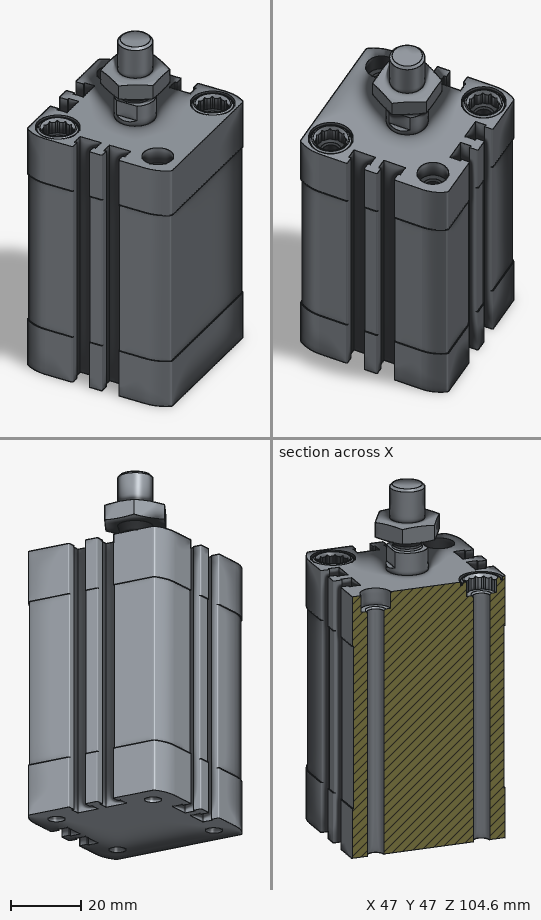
import cadquery as cq
import math

total_height = 104.6
housing_height = 79.1
cap_height = 15.1

housing_width = 47.0
half_width = housing_width / 2
tube_inset = 0.3
hole_offset = 16.2
corner_drop = 2.4
corner_edge_radius = 1.0
corner_run = half_width - hole_offset
corner_radius = (corner_run**2 + corner_drop**2) / (2 * corner_drop)

mouth_start = 2.1
mouth_end = 7.4
pocket_start = 1.4
pocket_end = 8.2
lip_depth = 2.6
slot_depth = 5.9
mouth_rounding = 0.3

through_diameter = 4.9
chamfer_diameter = 6.0
counterbore_diameter = 9.0
counterbore_depth = 5.0

moat_diameter = 12.8
head_diameter = 11.9
head_chamfer = 0.5
moat_depth = 1.0
socket_mouth_diameter = 10.0
socket_mouth_depth = 1.0
socket_bore_diameter = 8.5
socket_across_flats = 7.8
socket_depth = 4.6

rod_diameter = 12.0
thread_diameter = 10.0
tip_chamfer = 0.7
shoulder_height = 85.8
neck_foot_diameter = 8.7
neck_diameter = 8.2
neck_top_diameter = 8.5
neck_start = 86.3
neck_end = 87.0
runout_start = 87.3
wrench_across_flats = 10.0
wrench_flat_bottom = 81.0
wrench_floor_drop = 0.6

nut_bottom = 89.5
nut_thickness = 5.0
nut_across_flats = 17.0
nut_face_diameter = 16.7
nut_chamfer_height = 0.3

corner_points = [(x, y) for x in (-hole_offset, hole_offset) for y in (-hole_offset, hole_offset)]
screw_points = [(x, y) for x, y in corner_points if x == y]
plain_points = [(x, y) for x, y in corner_points if x != y]


def disc(diameter, bottom, top):
    """A cylinder on the Z axis between two heights."""
    return cq.Workplane("XY").workplane(offset=bottom).circle(diameter / 2).extrude(top - bottom)


def cone(bottom_diameter, top_diameter, bottom, top):
    """A truncated cone on the Z axis between two heights."""
    return cq.Workplane("XY").add(
        cq.Solid.makeCone(bottom_diameter / 2, top_diameter / 2, top - bottom, pnt=cq.Vector(0, 0, bottom))
    )


def corner_arc_block(inset, bottom, height):
    """Square block whose corners are shallow arcs, tangent to the Y sides above the hole axes."""
    side = half_width - inset
    radius = corner_radius - inset
    arc_centre = half_width - corner_radius
    arc_end = arc_centre + math.sqrt(radius**2 - (corner_run - inset) ** 2)
    block = (
        cq.Workplane("XY")
        .workplane(offset=bottom)
        .moveTo(-hole_offset, side)
        .lineTo(hole_offset, side)
        .radiusArc((side, arc_end), radius)
        .lineTo(side, -arc_end)
        .radiusArc((hole_offset, -side), radius)
        .lineTo(-hole_offset, -side)
        .radiusArc((-side, -arc_end), radius)
        .lineTo(-side, arc_end)
        .radiusArc((-hole_offset, side), radius)
        .close()
        .extrude(height)
    )
    return block.edges("|Z").edges("<X or >X").fillet(corner_edge_radius - inset)


def t_slot_pair(inset, bottom, height):
    """Cutter for the two T-slots of the -Y side, with rounded mouth edges."""
    side = -half_width + inset
    lip = -half_width + lip_depth
    floor = -half_width + slot_depth
    slot = (
        cq.Workplane("XY")
        .workplane(offset=bottom)
        .moveTo(mouth_start - mouth_rounding, side)
        .radiusArc((mouth_start, side + mouth_rounding), -mouth_rounding)
        .lineTo(mouth_start, lip)
        .lineTo(pocket_start, lip)
        .lineTo(pocket_start, floor)
        .lineTo(pocket_end, floor)
        .lineTo(pocket_end, lip)
        .lineTo(mouth_end, lip)
        .lineTo(mouth_end, side + mouth_rounding)
        .radiusArc((mouth_end + mouth_rounding, side), -mouth_rounding)
        .close()
        .extrude(height)
    )
    return slot.union(slot.mirror("YZ"))


def housing_section(inset, bottom, height):
    """One length of the housing, with T-slots in the -Y, +Y and -X sides."""
    section = corner_arc_block(inset, bottom, height)
    for angle in (0, 180, 270):
        slots = t_slot_pair(inset, bottom, height).rotate((0, 0, 0), (0, 0, 1), angle)
        section = section.cut(slots)
    return section


def threaded_hole(floor):
    """Through hole with a chamfer at the given floor height."""
    chamfer_height = (chamfer_diameter - through_diameter) / 2
    chamfer = cone(through_diameter, chamfer_diameter, floor - chamfer_height, floor)
    return disc(through_diameter, 0, floor).union(chamfer)


def plain_corner_cutter():
    """Counterbored through hole."""
    floor = housing_height - counterbore_depth
    return threaded_hole(floor).union(disc(counterbore_diameter, floor, housing_height))


def screw_corner_cutter():
    """Ring groove around a chamfered screw head with a twelve-point socket and a through hole."""
    head_bottom = housing_height - moat_depth
    chamfer_start = housing_height - head_chamfer
    top_diameter = head_diameter - 2 * head_chamfer
    head = disc(head_diameter, head_bottom, chamfer_start)
    head = head.union(cone(head_diameter, top_diameter, chamfer_start, housing_height))
    groove = disc(moat_diameter, head_bottom, housing_height).cut(head)

    floor = housing_height - socket_depth
    socket = disc(socket_bore_diameter, floor, housing_height)
    hexagon_diameter = socket_across_flats / math.cos(math.pi / 6)
    for angle in (0, 30):
        hexagon = cq.Workplane("XY").workplane(offset=floor).polygon(6, hexagon_diameter)
        hexagon = hexagon.extrude(housing_height - floor).rotate((0, 0, 0), (0, 0, 1), angle)
        socket = socket.union(hexagon)
    mouth_bottom = housing_height - socket_mouth_depth
    mouth = cone(socket_bore_diameter, socket_mouth_diameter, mouth_bottom, housing_height)
    return groove.union(socket).union(mouth).union(threaded_hole(floor))


def make_housing():
    tube_height = housing_height - 2 * cap_height
    body = housing_section(tube_inset, cap_height, tube_height)
    for bottom in (0, housing_height - cap_height):
        body = body.union(housing_section(0, bottom, cap_height))
    for x, y in plain_points:
        body = body.cut(plain_corner_cutter().translate((x, y, 0)))
    for x, y in screw_points:
        body = body.cut(screw_corner_cutter().translate((x, y, 0)))
    return body


def make_rod():
    """Rod standing on the housing: shank with two wrench flats, undercut neck and threaded end."""
    rod = (
        cq.Workplane("XZ")
        .moveTo(0, housing_height)
        .lineTo(rod_diameter / 2, housing_height)
        .lineTo(rod_diameter / 2, shoulder_height)
        .lineTo(neck_foot_diameter / 2, shoulder_height)
        .lineTo(neck_diameter / 2, neck_start)
        .lineTo(neck_diameter / 2, neck_end)
        .lineTo(neck_top_diameter / 2, runout_start)
        .lineTo(thread_diameter / 2, nut_bottom)
        .lineTo(thread_diameter / 2, total_height - tip_chamfer)
        .lineTo(thread_diameter / 2 - tip_chamfer, total_height)
        .lineTo(0, total_height)
        .close()
        .revolve(360, (0, 0, 0), (0, 1, 0))
    )
    flat = wrench_across_flats / 2
    surface = rod_diameter / 2
    for side in (-1, 1):
        notch = (
            cq.Workplane("YZ")
            .polyline([
                (side * flat, shoulder_height),
                (side * flat, wrench_flat_bottom),
                (side * surface, wrench_flat_bottom - wrench_floor_drop),
                (side * surface, shoulder_height),
            ])
            .close()
            .extrude(surface, both=True)
        )
        rod = rod.cut(notch)
    return rod


def make_nut():
    """Hexagon nut with corners along Y, chamfered on both faces."""
    corner_diameter = nut_across_flats / math.cos(math.pi / 6)
    nut_top = nut_bottom + nut_thickness
    hexagon = (
        cq.Workplane("XY")
        .workplane(offset=nut_bottom)
        .polygon(6, corner_diameter)
        .extrude(nut_thickness)
        .rotate((0, 0, 0), (0, 0, 1), 90)
    )
    chamfer_top = nut_bottom + nut_chamfer_height
    chamfer_bottom = nut_top - nut_chamfer_height
    envelope = (
        cone(nut_face_diameter, corner_diameter, nut_bottom, chamfer_top)
        .union(disc(corner_diameter, chamfer_top, chamfer_bottom))
        .union(cone(corner_diameter, nut_face_diameter, chamfer_bottom, nut_top))
    )
    return hexagon.intersect(envelope).cut(disc(thread_diameter, nut_bottom, nut_top))


housing = make_housing()
rod = make_rod()
nut = make_nut()

result = cq.Compound.makeCompound([housing.val(), rod.val(), nut.val()])